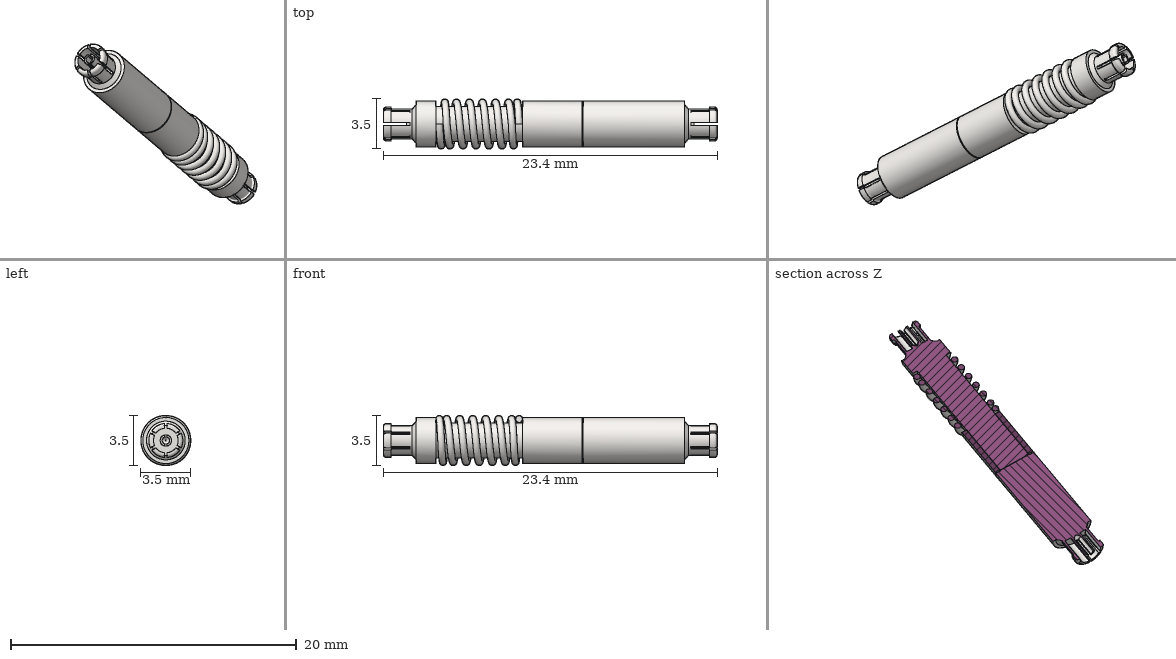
import cadquery as cq
import math

half_length = 11.68
barrel_radius = 1.61
shoulder_distance = 9.4
collar_inner_face = -8.02
sleeve_start = -1.95
sleeve_end = 2.22
joint_gap = 0.07
housing_start = sleeve_end + joint_gap
stem_radius = 1.25

mouth = -half_length
tube_radius = 1.05
cavity_radius = 0.86
cavity_depth = 1.85
cavity_floor = mouth + cavity_depth
head_radius = 1.2
head_length = 0.54
head_fillet = 0.2
neck_fillet = 0.07
cone_radius = 1.35
cone_length = 0.28
slot_width = 0.19
slot_count = 6

contact_radius = 0.4
contact_setback = 0.07
contact_tip = mouth + contact_setback
bore_radius = 0.25
bore_tip_angle = 90.0
slit_depth = 1.61

wire_diameter = 0.5
wire_radius = wire_diameter / 2
coil_radius = 1.75 - wire_radius
closed_pitch = 0.51
open_turns = 5


def cylinder(start, end, radius):
    """Cylinder about the X axis from X = start to X = end."""
    return cq.Workplane("YZ").workplane(offset=start).circle(radius).extrude(end - start)


def make_connector_shell():
    """Turned connector shell with a rounded head and an open cavity, not yet slotted."""
    shoulder = -shoulder_distance
    head_rear = mouth + head_length
    return (
        cq.Workplane("XY")
        .moveTo(cavity_floor, 0)
        .lineTo(cavity_floor, cavity_radius)
        .lineTo(mouth, cavity_radius)
        .lineTo(mouth, head_radius - head_fillet)
        .radiusArc((mouth + head_fillet, head_radius), head_fillet)
        .lineTo(head_rear, head_radius)
        .lineTo(head_rear, tube_radius + neck_fillet)
        .radiusArc((head_rear + neck_fillet, tube_radius), -neck_fillet)
        .lineTo(shoulder - cone_length, tube_radius)
        .lineTo(shoulder, cone_radius)
        .lineTo(shoulder, 0)
        .close()
        .revolve(360, (0, 0, 0), (1, 0, 0))
    )


def make_contact():
    """Bored contact split by one vertical slit across its diameter."""
    slit_end = mouth + slit_depth
    tip_length = bore_radius / math.tan(math.radians(bore_tip_angle / 2))
    bore_tip = cq.Solid.makeCone(bore_radius, 0, tip_length, cq.Vector(slit_end, 0, 0), cq.Vector(1, 0, 0))
    slit = (
        cq.Workplane("XY")
        .box(slit_depth, slot_width, 2 * contact_radius, centered=(False, True, True))
        .translate((mouth, 0, 0))
    )
    return (
        cylinder(contact_tip, cavity_floor, contact_radius)
        .cut(cylinder(contact_tip, slit_end, bore_radius))
        .cut(cq.Workplane(bore_tip))
        .cut(slit)
    )


def make_connector():
    """Connector with its radial slots and its centre contact."""
    connector = make_connector_shell()
    for index in range(slot_count):
        slot = (
            cq.Workplane("XY")
            .box(cavity_depth, slot_width, head_radius, centered=(False, True, False))
            .translate((mouth, 0, 0))
            .rotate((0, 0, 0), (1, 0, 0), index * 360 / slot_count)
        )
        connector = connector.cut(slot)
    return connector.union(make_contact())


def make_plunger():
    """Left connector, collar and the stem that reaches to the housing."""
    collar = cylinder(-shoulder_distance, collar_inner_face, barrel_radius)
    stem = cylinder(collar_inner_face, housing_start, stem_radius)
    return make_connector().union(collar).union(stem)


def make_sleeve():
    """Plain ring on the stem, the right seat of the spring."""
    ring = cylinder(sleeve_start, sleeve_end, barrel_radius)
    return ring.cut(cylinder(sleeve_start, sleeve_end, stem_radius))


def make_housing():
    """Solid barrel with the mirrored connector on its right end."""
    barrel = cylinder(housing_start, shoulder_distance, barrel_radius)
    return barrel.union(make_connector().mirror("YZ"))


def make_spring():
    """Round-wire spring with one closed turn at either end, starting and ending at the top."""
    axial_travel = sleeve_start - collar_inner_face - wire_diameter
    open_length = axial_travel - 2 * closed_pitch
    open_end = closed_pitch + open_length
    helices = [
        cq.Wire.makeHelix(closed_pitch, closed_pitch, coil_radius),
        cq.Wire.makeHelix(open_length / open_turns, open_length, coil_radius, cq.Vector(0, 0, closed_pitch)),
        cq.Wire.makeHelix(closed_pitch, closed_pitch, coil_radius, cq.Vector(0, 0, open_end)),
    ]
    path = cq.Wire.assembleEdges([edge for helix in helices for edge in helix.Edges()])
    upright_spring = (
        cq.Workplane("XZ", origin=(coil_radius, 0, 0))
        .circle(wire_radius)
        .sweep(cq.Workplane(path), isFrenet=True, transition="transformed")
    )
    return (
        upright_spring.rotate((0, 0, 0), (0, 1, 0), 90)
        .rotate((0, 0, 0), (1, 0, 0), 180)
        .translate((collar_inner_face + wire_radius, 0, 0))
    )


plunger = make_plunger()
spring = make_spring()
sleeve = make_sleeve()
housing = make_housing()

bodies = [plunger, spring, sleeve, housing]
result = cq.Compound.makeCompound([body.solids().val() for body in bodies])